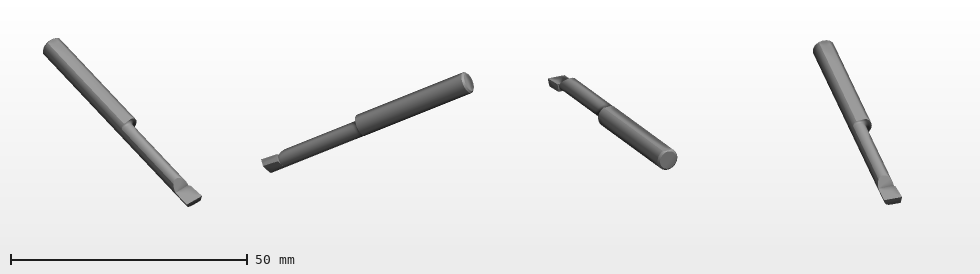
import cadquery as cq
import math


total_length = 50.8
shank_radius = 4.75 / 2
shank_length = 26.9
overall_height = 4.5
flat_height = overall_height - shank_radius
back_chamfer = 0.4

neck_radius = 1.8
neck_offset = -0.77
shoulder_fillet = 0.7

rake_height = 0
head_start = 46.75
flank_start = 47.0
tip_y = 1.62
side_clearance = math.radians(5)
end_clearance = math.radians(2)
relief_angle = math.radians(8)


def make_shank_stock():
    """Chamfered cylinder over the full length."""
    bar = cq.Workplane("YZ").circle(shank_radius).extrude(total_length)
    return bar.faces("<X").chamfer(back_chamfer)


def make_flat_cutter():
    """Block above the clamping flat."""
    size = 2 * shank_radius
    return cq.Workplane("XY", origin=(0, 0, flat_height)).box(
        total_length, size, size, centered=(False, True, False)
    )


def make_neck_envelope():
    """Solid of revolution about the neck axis that limits the bar."""
    outer_radius = 2 * shank_radius
    wall_end = neck_radius + shoulder_fillet
    fillet_end = shank_length + shoulder_fillet
    middle_gap = shoulder_fillet * (1 - math.sqrt(0.5))
    arc_middle = (shank_length + middle_gap, neck_radius + middle_gap)
    profile = (
        cq.Workplane("XY", origin=(0, neck_offset, 0))
        .moveTo(0, 0)
        .lineTo(0, outer_radius)
        .lineTo(shank_length, outer_radius)
        .lineTo(shank_length, wall_end)
        .threePointArc(arc_middle, (fillet_end, neck_radius))
        .lineTo(total_length, neck_radius)
        .lineTo(total_length, 0)
        .close()
    )
    return profile.revolve(360, (0, 0, 0), (1, 0, 0))


def make_tip():
    """Side block of the cutting head, its +Y flank relieved below the cutting edge."""
    flank_y = tip_y - (total_length - flank_start) * math.tan(side_clearance)
    relief = neck_radius * math.tan(relief_angle)

    def outline(plane, flank_inset):
        return plane.polyline([
            (flank_start, neck_offset),
            (total_length, neck_offset),
            (total_length, tip_y - flank_inset),
            (flank_start, flank_y - flank_inset),
        ]).close()

    top = outline(cq.Workplane("XY", origin=(0, 0, rake_height)), 0)
    return outline(top.workplane(offset=-neck_radius), relief).loft(ruled=True)


def make_rake_cutter():
    """Space above the rake face, entered by a 45 degree ramp."""
    height = 2 * shank_radius
    return (
        cq.Workplane("XZ")
        .polyline([
            (head_start, rake_height),
            (total_length, rake_height),
            (total_length, height),
            (head_start - height + rake_height, height),
        ])
        .close()
        .extrude(shank_radius, both=True)
    )


def make_front_cutter():
    """Space in front of the tilted end face; only the tip corner reaches full length."""
    size = 4 * shank_radius
    return (
        cq.Workplane("XY")
        .box(size, size, size, centered=(False, True, True))
        .rotate((0, 0, 0), (0, 1, 0), math.degrees(relief_angle))
        .rotate((0, 0, 0), (0, 0, 1), -math.degrees(end_clearance))
        .translate((total_length, tip_y, rake_height))
    )


bar = make_shank_stock().cut(make_flat_cutter())
bar = bar.intersect(make_neck_envelope())
bar = bar.cut(make_rake_cutter()).union(make_tip())
result = bar.cut(make_front_cutter())